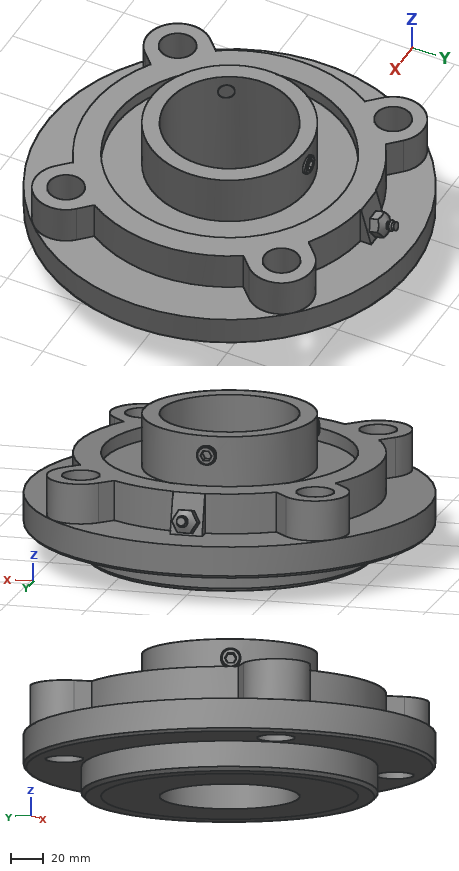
import cadquery as cq
import math

flange_diameter = 250.0
flange_bottom = 18.0
flange_top = 38.0
flange_chamfer = 1.8
spigot_diameter = 180.0
spigot_chamfer = 2.2
ring_diameter = 190.0
ring_top = 63.0
lug_diameter = 41.5
lug_circle_radius = 104.0
lug_count = 4
bolt_hole_diameter = 23.0

boss_width = 20.0
boss_foot = 101.8
boss_height = ring_top - flange_top
boss_slope = math.atan2(boss_foot - ring_diameter / 2, boss_height)
nipple_tilt = math.degrees(boss_slope)
nipple_height = 8.0
hex_across_corners = 16.0
hex_length = 5.8
cone_end = 9.0
neck_end = 9.8
bead_middle = 11.5
groove_end = 12.8
nipple_end = 14.5
neck_radius = 2.5
bead_radius = 3.5
groove_radius = 2.5
tip_radius = 2.8

insert_diameter = 156.0
insert_face = 54.5
sleeve_diameter = 106.5
bore_diameter = 85.0
insert_top = 87.5

screw_angles = (90.0, 210.0)
screw_height = 75.5
screw_diameter = 12.0
screw_end_diameter = 10.2
screw_end_recess = 0.2
screw_end_radius = bore_diameter / 2 + screw_end_recess
screw_head_radius = 55.2
screw_chamfer = 0.8
socket_across_corners = 7.0
socket_depth = 5.0


def cylinder(diameter, bottom, top):
    return cq.Workplane("XY").workplane(offset=bottom).circle(diameter / 2).extrude(top - bottom)


def revolve_profile(points):
    """Turn (radius, height) points about the Z axis."""
    return cq.Workplane("XZ").polyline(points).close().revolve(360, (0, 0), (0, 1))


def make_lug():
    """Lug on the +X axis: a round end with straight sides running in towards the ring."""
    height = ring_top - flange_top
    base = cq.Workplane("XY").workplane(offset=flange_top)
    end = base.center(lug_circle_radius, 0).circle(lug_diameter / 2).extrude(height)
    arm_start = insert_diameter / 2
    arm_length = lug_circle_radius - arm_start
    arm = base.center(arm_start + arm_length / 2, 0).rect(arm_length, lug_diameter).extrude(height)
    return end.union(arm)


def make_boss():
    """Wedge on the +Y side of the ring, its outer face leaning in to the ring's top edge."""
    inner = insert_diameter / 2 + 2.5
    profile = [
        (inner, flange_top),
        (boss_foot, flange_top),
        (ring_diameter / 2, ring_top),
        (inner, ring_top),
    ]
    return cq.Workplane("YZ").polyline(profile).close().extrude(boss_width / 2, both=True)


def make_nipple():
    """Grease nipple: a hexagon with a coned end and a beaded tip, square to the sloped boss face."""
    hexagon = cq.Workplane("XY").polygon(6, hex_across_corners).extrude(cone_end)
    hex_profile = [
        (0, 0),
        (hex_across_corners / 2, 0),
        (hex_across_corners / 2, hex_length),
        (neck_radius, cone_end),
        (0, cone_end),
    ]
    tip_profile = [
        (0, cone_end),
        (neck_radius, cone_end),
        (neck_radius, neck_end),
        (bead_radius, bead_middle),
        (groove_radius, groove_end),
        (tip_radius, nipple_end),
        (0, nipple_end),
    ]
    coned_hexagon = hexagon.intersect(revolve_profile(hex_profile))
    tip = revolve_profile(tip_profile)
    face_y = boss_foot - nipple_height * math.tan(boss_slope)
    return (
        coned_hexagon.union(tip)
        .rotate((0, 0, 0), (1, 0, 0), nipple_tilt - 90)
        .translate((0, face_y, flange_top + nipple_height))
    )


def make_housing():
    spigot = cylinder(spigot_diameter, 0, flange_bottom).faces("<Z").chamfer(spigot_chamfer)
    flange = cylinder(flange_diameter, flange_bottom, flange_top).faces("<Z").chamfer(flange_chamfer)
    ring = cylinder(ring_diameter, flange_top, ring_top)
    body = flange.union(spigot).union(ring).union(make_boss())
    lug = make_lug()
    hole = cylinder(bolt_hole_diameter, 0, ring_top).translate((lug_circle_radius, 0, 0))
    lug_angles = [(i + 0.5) * 360 / lug_count for i in range(lug_count)]
    for angle in lug_angles:
        body = body.union(lug.rotate((0, 0, 0), (0, 0, 1), angle))
    for angle in lug_angles:
        body = body.cut(hole.rotate((0, 0, 0), (0, 0, 1), angle))
    body = body.cut(cylinder(insert_diameter, 0, ring_top))
    return body.union(make_nipple())


def make_set_screw():
    """Set screw along the +X axis, with its hexagon socket and the hole from the bore to its inner end."""
    length = screw_head_radius - screw_end_radius
    screw = (
        cq.Workplane("YZ")
        .workplane(offset=screw_end_radius)
        .circle(screw_diameter / 2)
        .extrude(length)
        .faces(">X")
        .chamfer(screw_chamfer)
    )
    socket = (
        cq.Workplane("YZ")
        .workplane(offset=screw_head_radius - socket_depth)
        .polygon(6, socket_across_corners)
        .extrude(socket_depth)
    )
    hole = cq.Workplane("YZ").circle(screw_end_diameter / 2).extrude(screw_end_radius)
    return screw, socket, hole


def place_in_sleeve(shape, angle):
    """Lift a shape to the screw height and turn it about the sleeve axis."""
    return shape.translate((0, 0, screw_height)).rotate((0, 0, 0), (0, 0, 1), angle)


def make_insert():
    disc = cylinder(insert_diameter, 0, insert_face)
    sleeve = cylinder(sleeve_diameter, insert_face, insert_top)
    body = disc.union(sleeve).cut(cylinder(bore_diameter, 0, insert_top))
    screw, socket, hole = make_set_screw()
    for angle in screw_angles:
        body = body.union(place_in_sleeve(screw, angle))
        body = body.cut(place_in_sleeve(socket, angle)).cut(place_in_sleeve(hole, angle))
    return body


housing = make_housing()
insert = make_insert()
result = cq.Compound.makeCompound([housing.solids().val(), insert.solids().val()])